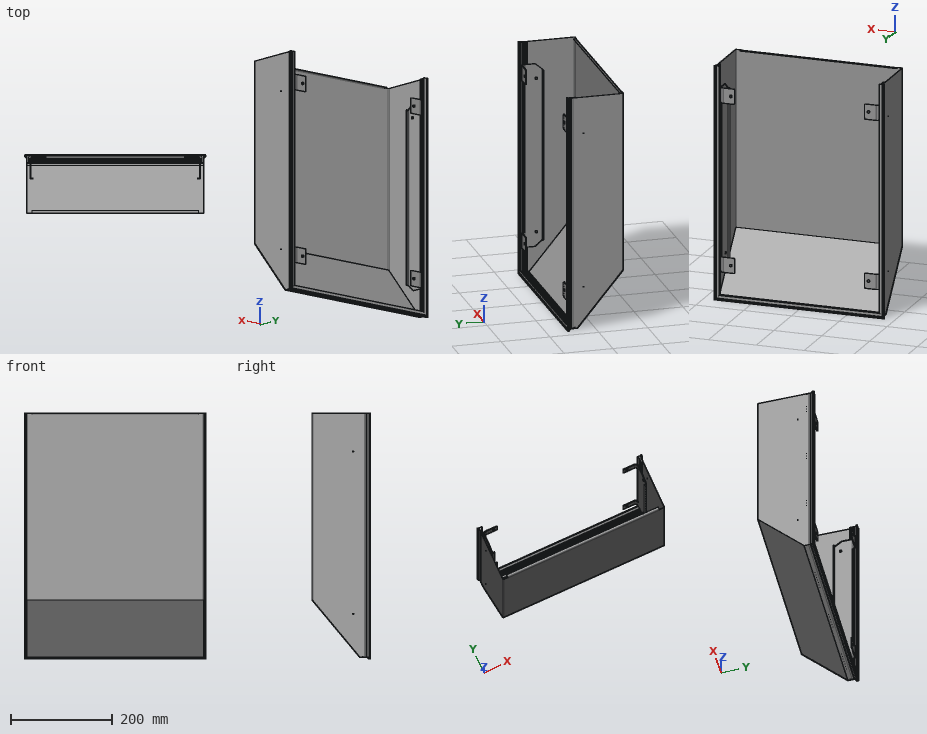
import cadquery as cq

HEIGHT = 483.0
WIDTH = 355.5
DEPTH = 115.5
FRONT_Y = -DEPTH / 2
REAR_Y = DEPTH / 2
SHEET = 1.0
KNEE_Z = 116.0
BOTTOM_FRONT_Y = 36.0
CORNER_RADIUS = 2.15

FLARE = 3.15
FLARE_INNER_START_Y = 49.0
FLARE_OUTER_START_Y = 50.5
FLARE_END_Y = 54.0
LIP_THICKNESS = 2.0
LIP_BEVEL_WIDTH = 0.5
LIP_BEVEL_LENGTH = 1.2
SIDE_X = WIDTH / 2 - FLARE
BOTTOM_Z = FLARE

HEM_LENGTH = 327.0
HEM_DEPTH = 6.5
HEM_RADIUS = 2.0

FIXING_Y = 23.5
FIXING_HEIGHTS = (88.5, 407.5)
SIDE_HOLE_DIAMETER = 1.5
BRACKET_HOLE_DIAMETER = 5.0

SEAL_THICKNESS = 3.5
SEAL_INNER = SHEET + SEAL_THICKNESS
SEAL_TIP_THICKNESS = 2.0
SEAL_FRONT_Y = 40.5
SEAL_CONTACT_Y = 45.5
SEAL_REAR_Y = 57.0
FLANGE_INNER = 7.2
FLANGE_THICKNESS = 2.0
GROOVE_COUNT = 4
GROOVE_PITCH = 2.65
GROOVE_WIDTH = 1.5
GROOVE_DEPTH = 0.5

BRACKET_SHEET = 2.0
BRACKET_X = 167.0
BRACKET_REAR_Y = 54.5
BEND_RADIUS = 7.2
BRACKET_TOP_Z = 438.0
BRACKET_BOTTOM_Z = sum(FIXING_HEIGHTS) - BRACKET_TOP_Z
BRACKET_HEIGHT = BRACKET_TOP_Z - BRACKET_BOTTOM_Z
LEG_FRONT_Y = 9.5
LEG_LIP_BEND_RADIUS = 3.0
LEG_LIP = 6.0
LEG_CUT_Y = 16.5
LEG_CUT_Z = 14.0
TAB_INNER_X = 135.5
TAB_HEIGHT = 31.5
TAB_CORNER_RADIUS = 2.5
TAB_HOLE_X = 144.0
TAB_HOLE_DIAMETER = 5.0

CUT_OVERRUN = 24.0


def section_plane():
    """Section plane at the top of the left side: x runs inward from its outer face."""
    return cq.Workplane("XY", origin=(-SIDE_X, 0, HEIGHT))


def sweep_around_rear(section):
    """Sweep a section down the left side, along the bottom and up the right side."""
    path = cq.Workplane("XZ").polyline(
        [(-SIDE_X, HEIGHT), (-SIDE_X, BOTTOM_Z), (SIDE_X, BOTTOM_Z), (SIDE_X, HEIGHT)]
    )
    return section.sweep(path, transition="right")


def fixing_holes(diameter):
    holes = cq.Workplane("YZ").pushPoints([(FIXING_Y, z) for z in FIXING_HEIGHTS])
    return holes.circle(diameter / 2).extrude(WIDTH, both=True)


def side_outline(top, rear):
    return cq.Workplane("YZ").polyline([
        (FRONT_Y, top),
        (FRONT_Y, KNEE_Z),
        (BOTTOM_FRONT_Y, BOTTOM_Z),
        (rear, BOTTOM_Z),
        (rear, top),
    ]).close()


def make_panels():
    outside = side_outline(HEIGHT, FLARE_INNER_START_Y).extrude(SIDE_X, both=True)
    outside = outside.edges("|Z and <Y").fillet(CORNER_RADIUS)
    inside = side_outline(HEIGHT + CUT_OVERRUN, REAR_Y + CUT_OVERRUN).offset2D(-SHEET, "intersection")
    inside = inside.extrude(SIDE_X - SHEET, both=True)
    inside = inside.edges("|Z and <Y").fillet(CORNER_RADIUS - SHEET)
    return outside.cut(inside)


def make_lip():
    inner_offset = LIP_THICKNESS - FLARE
    section = section_plane().polyline([
        (0, FLARE_INNER_START_Y),
        (0, FLARE_OUTER_START_Y),
        (-FLARE, FLARE_END_Y),
        (-FLARE, REAR_Y - LIP_BEVEL_LENGTH),
        (-FLARE + LIP_BEVEL_WIDTH, REAR_Y),
        (inner_offset, REAR_Y),
        (inner_offset, FLARE_END_Y),
        (SHEET, FLARE_INNER_START_Y),
    ]).close()
    return sweep_around_rear(section)


def make_hem():
    """Strip that bends from the front panel over to a short horizontal flange."""
    bend_y = FRONT_Y + HEM_RADIUS
    bend_z = HEIGHT - HEM_RADIUS
    hem_end_y = FRONT_Y + HEM_DEPTH
    section = (
        cq.Workplane("YZ", origin=(-HEM_LENGTH / 2, 0, 0))
        .moveTo(FRONT_Y, bend_z)
        .radiusArc((bend_y, HEIGHT), HEM_RADIUS)
        .lineTo(hem_end_y, HEIGHT)
        .lineTo(hem_end_y, HEIGHT - SHEET)
        .lineTo(bend_y, HEIGHT - SHEET)
        .radiusArc((FRONT_Y + SHEET, bend_z), SHEET - HEM_RADIUS)
        .close()
    )
    return section.extrude(HEM_LENGTH)


def make_cover():
    hem_space = cq.Workplane("XY").box(HEM_LENGTH, 2 * HEM_DEPTH, 2 * HEM_RADIUS)
    hem_space = hem_space.translate((0, FRONT_Y, HEIGHT))
    cover = make_panels().cut(hem_space).union(make_hem()).union(make_lip())
    return cover.cut(fixing_holes(SIDE_HOLE_DIAMETER))


def make_seal():
    flange_front_y = SEAL_REAR_Y - FLANGE_THICKNESS
    flange_width = FLANGE_INNER - SEAL_INNER
    section = (
        section_plane()
        .moveTo(SEAL_INNER - SEAL_TIP_THICKNESS, SEAL_FRONT_Y)
        .lineTo(SEAL_INNER, SEAL_FRONT_Y)
        .lineTo(SEAL_INNER, flange_front_y - flange_width)
        .radiusArc((FLANGE_INNER, flange_front_y), flange_width)
        .lineTo(FLANGE_INNER, SEAL_REAR_Y)
        .lineTo(SHEET, SEAL_REAR_Y)
        .lineTo(SHEET, SEAL_CONTACT_Y)
        .close()
    )
    seal = sweep_around_rear(section)
    for i in range(GROOVE_COUNT):
        y = SEAL_FRONT_Y + GROOVE_WIDTH + i * GROOVE_PITCH
        groove = section_plane().center(SEAL_INNER, y).rect(2 * GROOVE_DEPTH, GROOVE_WIDTH)
        seal = seal.cut(sweep_around_rear(groove))
    return seal


def bracket_blank():
    """Bent section of the right-hand bracket at full height: tab, bend, leg and front lip."""
    leg_inner_x = BRACKET_X - BRACKET_SHEET
    lip_back_y = LEG_FRONT_Y + BRACKET_SHEET
    bend_x = BRACKET_X - BEND_RADIUS
    bend_y = BRACKET_REAR_Y - BEND_RADIUS
    bend_inner_radius = BEND_RADIUS - BRACKET_SHEET
    section = (
        cq.Workplane("XY", origin=(0, 0, BRACKET_BOTTOM_Z))
        .moveTo(TAB_INNER_X, BRACKET_REAR_Y)
        .lineTo(bend_x, BRACKET_REAR_Y)
        .radiusArc((BRACKET_X, bend_y), BEND_RADIUS)
        .lineTo(BRACKET_X, LEG_FRONT_Y + LEG_LIP_BEND_RADIUS)
        .radiusArc((BRACKET_X - LEG_LIP_BEND_RADIUS, LEG_FRONT_Y), LEG_LIP_BEND_RADIUS)
        .lineTo(BRACKET_X - LEG_LIP, LEG_FRONT_Y)
        .lineTo(BRACKET_X - LEG_LIP, lip_back_y)
        .lineTo(leg_inner_x, lip_back_y)
        .lineTo(leg_inner_x, bend_y)
        .radiusArc((bend_x, BRACKET_REAR_Y - BRACKET_SHEET), -bend_inner_radius)
        .lineTo(TAB_INNER_X, BRACKET_REAR_Y - BRACKET_SHEET)
        .close()
    )
    return section.extrude(BRACKET_HEIGHT)


def bracket_side_outline():
    """Side outline of the bracket: cut front corners, and a rear edge set back between the tabs."""
    leg_rear_y = BRACKET_REAR_Y - BEND_RADIUS
    outline = cq.Workplane("YZ").polyline([
        (BRACKET_REAR_Y, BRACKET_BOTTOM_Z),
        (LEG_FRONT_Y + LEG_CUT_Y, BRACKET_BOTTOM_Z),
        (LEG_FRONT_Y, BRACKET_BOTTOM_Z + LEG_CUT_Z),
        (LEG_FRONT_Y, BRACKET_TOP_Z - LEG_CUT_Z),
        (LEG_FRONT_Y + LEG_CUT_Y, BRACKET_TOP_Z),
        (BRACKET_REAR_Y, BRACKET_TOP_Z),
        (BRACKET_REAR_Y, BRACKET_TOP_Z - TAB_HEIGHT),
        (leg_rear_y, BRACKET_TOP_Z - TAB_HEIGHT),
        (leg_rear_y, BRACKET_BOTTOM_Z + TAB_HEIGHT),
        (BRACKET_REAR_Y, BRACKET_BOTTOM_Z + TAB_HEIGHT),
    ]).close()
    return outline.extrude(BRACKET_X)


def tab_holes():
    heights = (BRACKET_BOTTOM_Z + TAB_HEIGHT / 2, BRACKET_TOP_Z - TAB_HEIGHT / 2)
    holes = cq.Workplane("XZ").pushPoints([(TAB_HOLE_X, z) for z in heights])
    return holes.circle(TAB_HOLE_DIAMETER / 2).extrude(-DEPTH)


def make_bracket(side):
    """Bracket on the right (side = 1) or, mirrored, on the left (side = -1)."""
    bracket = bracket_blank().intersect(bracket_side_outline())
    bracket = bracket.edges("|Y and <X").fillet(TAB_CORNER_RADIUS)
    bracket = bracket.cut(tab_holes()).cut(fixing_holes(BRACKET_HOLE_DIAMETER))
    if side < 0:
        bracket = bracket.mirror("YZ")
    return bracket


cover = make_cover()
seal = make_seal()
brackets = [make_bracket(side) for side in (-1, 1)]

result = cq.Compound.makeCompound([cover.val(), seal.val(), *[b.val() for b in brackets]])